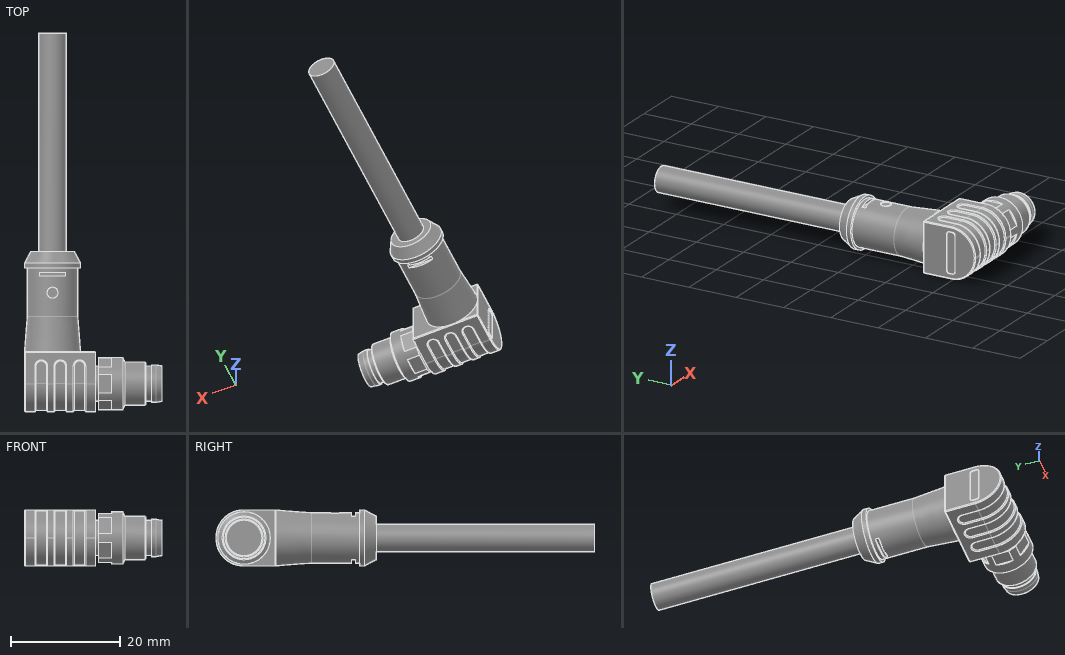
import cadquery as cq
import math


housing_height = 10.3
housing_left = -housing_height / 2
housing_right = 7.9
housing_back = 5.85
nose_flat_height = 0.2
edge_chamfer = 0.17

groove_count = 3
groove_pitch = 3.5
groove_middle_x = 1.43
groove_width = 2.3
groove_depth = 0.2
groove_bevel = 0.2
groove_end_center_y = 3.2

label_width = 1.7
label_height = 8.2
label_corner_radius = 0.5
label_depth = 0.15

sleeve_diameter = 9.3
flare_diameter = 10.3
flare_end_y = 12.3
collar_diameter = 10.3
collar_front_y = 21.15
collar_back_y = 22.05
sleeve_end_diameter = 8.0
sleeve_end_y = 24.2
cable_diameter = 5.1
overall_length_y = 69.3
cable_end_y = overall_length_y - housing_height / 2

dimple_diameter = 2.0
dimple_y = 16.65
dimple_depth = 0.15
notch_front_y = 19.7
notch_back_y = 20.35
notch_floor_z = 4.0

overall_length_x = 25.2
plug_end_x = housing_left + overall_length_x
neck_diameter = 6.5
nut_diameter = 9.6
nut_start_x = 8.4
nut_bevel_x = 12.85
nut_end_x = 13.25
nut_flat_end_x = 10.8
nut_across_flats = 9.0
nut_flat_count = 6
barrel_diameter = 8.0
barrel_end_x = 17.1
barrel_chamfer = 0.2
ring_diameter = 6.9
ring_start_x = 18.15
ring_taper_x = 18.95


def housing_block():
    """Plain housing with a rounded nose that ends in a narrow flat."""
    half_height = housing_height / 2
    half_flat = nose_flat_height / 2
    nose_radius = half_height - half_flat
    nose_y = -half_height
    nose_start_y = nose_y + nose_radius
    arc_offset = nose_radius * math.sqrt(0.5)
    arc_middle_y = nose_start_y - arc_offset
    arc_middle_z = half_flat + arc_offset
    return (
        cq.Workplane("YZ", origin=(housing_left, 0, 0))
        .moveTo(housing_back, -half_height)
        .lineTo(nose_start_y, -half_height)
        .threePointArc((arc_middle_y, -arc_middle_z), (nose_y, -half_flat))
        .lineTo(nose_y, half_flat)
        .threePointArc((arc_middle_y, arc_middle_z), (nose_start_y, half_height))
        .lineTo(housing_back, half_height)
        .close()
        .extrude(housing_right - housing_left)
    )


def groove_core():
    """Solid inside the housing whose skin is the floor of every groove."""
    floor_radius = housing_height / 2 - groove_depth
    return (
        cq.Workplane("YZ", origin=(housing_left, 0, 0))
        .moveTo(housing_back, -floor_radius)
        .lineTo(0, -floor_radius)
        .threePointArc((-floor_radius, 0), (0, floor_radius))
        .lineTo(housing_back, floor_radius)
        .close()
        .extrude(housing_right - housing_left)
    )


def groove_cutter(center_x):
    """Tool for one groove: a round-ended column, hollowed by the core, with bevelled floor edges."""
    front_y = -housing_height
    length = groove_end_center_y - front_y
    bar = (
        cq.Workplane("XY", origin=(center_x, front_y + length / 2, 0))
        .rect(groove_width, length)
        .extrude(housing_height, both=True)
    )
    round_end = (
        cq.Workplane("XY", origin=(center_x, groove_end_center_y, 0))
        .circle(groove_width / 2)
        .extrude(housing_height, both=True)
    )
    reach = housing_height / 2
    floor_region = cq.selectors.BoxSelector(
        (housing_left, -reach, -reach), (housing_right, reach, reach), boundingbox=True
    )
    tool = bar.union(round_end).cut(groove_core())
    return tool.edges(floor_region).edges("not |X").chamfer(groove_bevel)


def housing():
    """Housing with chamfered end and back edges, finger grooves and a label recess."""
    body = housing_block()
    body = body.faces("<X or >Y").edges().chamfer(edge_chamfer)
    for index in range(groove_count):
        center_x = groove_middle_x + (index - (groove_count - 1) / 2) * groove_pitch
        body = body.cut(groove_cutter(center_x))
    label = (
        cq.Workplane("YZ", origin=(housing_left, 0, 0))
        .rect(label_width, label_height)
        .extrude(label_depth)
        .edges("|X")
        .fillet(label_corner_radius)
    )
    return body.cut(label)


def cable_and_sleeve():
    """Turned sleeve and cable, rooted in the housing with a stub below the groove floors."""
    flare_start_y = housing_back - edge_chamfer
    sleeve = (
        cq.Workplane("XY")
        .moveTo(0, 0)
        .lineTo(sleeve_diameter / 2, 0)
        .lineTo(sleeve_diameter / 2, flare_start_y)
        .lineTo(flare_diameter / 2 - edge_chamfer, flare_start_y)
        .lineTo(flare_diameter / 2, housing_back)
        .lineTo(sleeve_diameter / 2, flare_end_y)
        .lineTo(sleeve_diameter / 2, collar_front_y)
        .lineTo(collar_diameter / 2, collar_front_y)
        .lineTo(collar_diameter / 2, collar_back_y)
        .lineTo(sleeve_end_diameter / 2, sleeve_end_y)
        .lineTo(cable_diameter / 2, sleeve_end_y)
        .lineTo(cable_diameter / 2, cable_end_y)
        .lineTo(0, cable_end_y)
        .close()
        .revolve(360, (0, 0, 0), (0, 1, 0))
    )
    dimple = (
        cq.Workplane("XY", origin=(0, dimple_y, sleeve_diameter / 2 - dimple_depth))
        .circle(dimple_diameter / 2)
        .extrude(sleeve_diameter)
    )
    notch = cq.Workplane("XY").box(
        sleeve_diameter, notch_back_y - notch_front_y, sleeve_diameter, centered=(True, False, False)
    )
    top_notch = notch.translate((0, notch_front_y, notch_floor_z))
    bottom_notch = top_notch.mirror("XY")
    return sleeve.cut(dimple).cut(top_notch).cut(bottom_notch)


def plug():
    """Turned plug with a ring of flats on the rear part of its nut."""
    turned = (
        cq.Workplane("XY")
        .moveTo(0, 0)
        .lineTo(0, neck_diameter / 2)
        .lineTo(nut_start_x, neck_diameter / 2)
        .lineTo(nut_start_x, nut_diameter / 2)
        .lineTo(nut_bevel_x, nut_diameter / 2)
        .lineTo(nut_end_x, barrel_diameter / 2)
        .lineTo(barrel_end_x - barrel_chamfer, barrel_diameter / 2)
        .lineTo(barrel_end_x, barrel_diameter / 2 - barrel_chamfer)
        .lineTo(barrel_end_x, neck_diameter / 2)
        .lineTo(ring_start_x, neck_diameter / 2)
        .lineTo(ring_start_x, ring_diameter / 2)
        .lineTo(ring_taper_x, ring_diameter / 2)
        .lineTo(plug_end_x, neck_diameter / 2)
        .lineTo(plug_end_x, 0)
        .close()
        .revolve(360, (0, 0, 0), (1, 0, 0))
    )
    flat_length = nut_flat_end_x - nut_start_x
    flat = (
        cq.Workplane("XY")
        .box(flat_length, nut_diameter, nut_diameter, centered=(False, True, False))
        .translate((nut_start_x, 0, nut_across_flats / 2))
    )
    for index in range(nut_flat_count):
        angle = index * 360 / nut_flat_count
        turned = turned.cut(flat.rotate((0, 0, 0), (1, 0, 0), angle))
    return turned


result = housing().union(cable_and_sleeve()).union(plug())